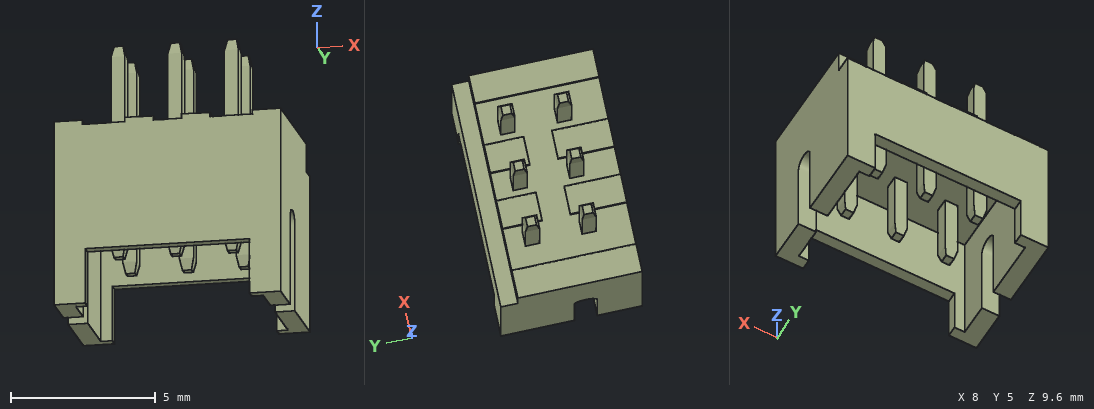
import cadquery as cq

total_height = 9.6
housing_length = 8.0
housing_width = 5.0
housing_height = 6.6

pitch = housing_length / 4
pins_per_row = 3
row_count = 2
pin_size = 0.5
pin_tip_size = 0.32
pin_taper_height = 0.4
pin_bottom = 2.0

end_wall = 0.7
side_wall = 0.4
cavity_depth = 5.0

leg_length = 1.1
window_height = 1.96
slot_width = 0.8
slot_height = 3.5
slot_front_distance = 2.0

step_depth = 0.6
step_height = 1.0
recess_depth = 0.15
end_rib_width = 1.0
pad_width = 1.0
pad_gap = 1.0

middle_y = housing_width / 2
pin_columns = [(i - (pins_per_row - 1) / 2) * pitch for i in range(pins_per_row)]
pin_rows = [middle_y + (j - (row_count - 1) / 2) * pitch for j in range(row_count)]


def block(length, width, height, y_start, z_start, x_middle=0.0):
    """Box centred on x_middle, growing in +Y and +Z from its start corner."""
    return (
        cq.Workplane("XY")
        .box(length, width, height, centered=(True, False, False))
        .translate((x_middle, y_start, z_start))
    )


def make_shell():
    """Box with a step along its upper rear edge and a cavity from below."""
    outer = block(housing_length, housing_width, housing_height, 0, 0)
    step = block(
        housing_length, step_depth, step_height,
        housing_width - step_depth, housing_height - step_height,
    )
    cavity = block(
        housing_length - 2 * end_wall, housing_width - 2 * side_wall, cavity_depth,
        side_wall, 0,
    )
    return outer.cut(step).cut(cavity)


def make_window():
    """Opening through the front and rear walls that leaves a leg at each end."""
    return block(housing_length - 2 * leg_length, housing_width, window_height, 0, 0)


def make_end_slot():
    """Round-topped slot through both end walls."""
    radius = slot_width / 2
    straight_height = slot_height - radius
    return (
        cq.Workplane("YZ")
        .moveTo(slot_front_distance - radius, 0)
        .lineTo(slot_front_distance - radius, straight_height)
        .threePointArc(
            (slot_front_distance, slot_height),
            (slot_front_distance + radius, straight_height),
        )
        .lineTo(slot_front_distance + radius, 0)
        .close()
        .extrude(housing_length / 2, both=True)
    )


def make_top_recess():
    """Shallow recess between the end ribs, with raised pads between the pin columns."""
    floor = housing_height - recess_depth
    recess = block(housing_length - 2 * end_rib_width, housing_width, recess_depth, 0, floor)
    pad_length = (housing_width - pad_gap) / 2
    for left, right in zip(pin_columns, pin_columns[1:]):
        for y_start in (0, middle_y + pad_gap / 2):
            pad = block(pad_width, pad_length, recess_depth, y_start, floor, (left + right) / 2)
            recess = recess.cut(pad)
    return recess


def make_pin(x, y):
    """Square pin, tapered at both ends."""
    shaft_bottom = pin_bottom + pin_taper_height
    shaft_top = total_height - pin_taper_height
    shaft = block(pin_size, pin_size, shaft_top - shaft_bottom, -pin_size / 2, shaft_bottom)
    upper_taper = (
        cq.Workplane("XY").workplane(offset=shaft_top).rect(pin_size, pin_size)
        .workplane(offset=pin_taper_height).rect(pin_tip_size, pin_tip_size)
        .loft()
    )
    lower_taper = (
        cq.Workplane("XY").workplane(offset=pin_bottom).rect(pin_tip_size, pin_tip_size)
        .workplane(offset=pin_taper_height).rect(pin_size, pin_size)
        .loft()
    )
    return shaft.union(upper_taper).union(lower_taper).translate((x, y, 0))


result = make_shell().cut(make_window()).cut(make_end_slot()).cut(make_top_recess())
for pin_x in pin_columns:
    for pin_y in pin_rows:
        result = result.union(make_pin(pin_x, pin_y))